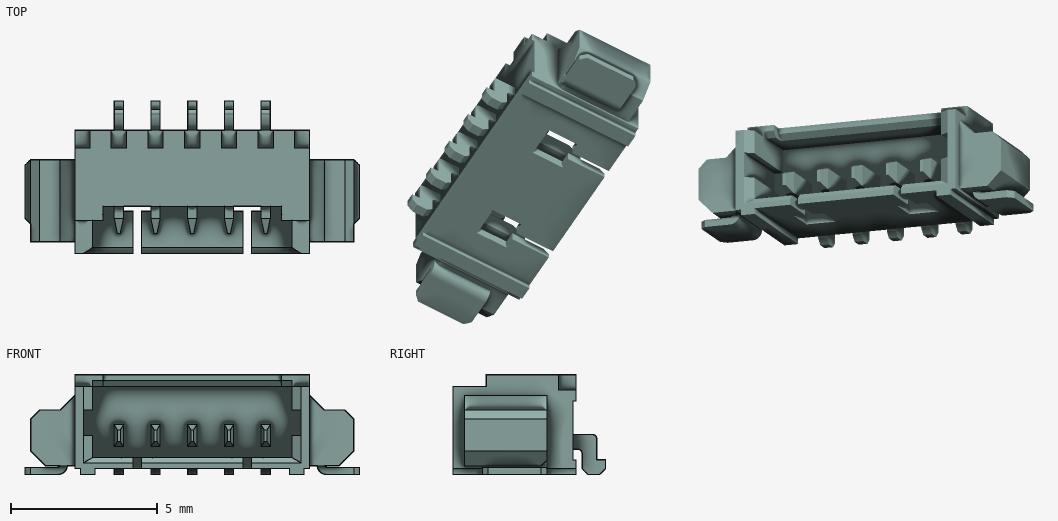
import cadquery as cq


body_width = 8.0
body_depth = 4.2
body_top = 3.4
body_bottom = 0.2
side_wall_top = 3.0
roof_front = 1.13
roof_notch_back = 1.61
roof_notch_width = 6.08
back_recess_depth = 0.11
back_recess_bottom = 0.5
back_recess_top = 2.5

cavity_width = 6.8
cavity_depth = 2.96
cavity_floor = 0.58
groove_width = 7.4
groove_bottom = 1.34
groove_top = 2.2
mouth_chamfer_depth = 0.2
mouth_floor = 0.4
roof_bevel_height = 0.2

slot_width = 0.28
slot_depth = 1.44
window_width = 1.06
window_back = 2.6

notch_width = 0.52
notch_depth = 0.6
notch_floor = 2.88
rail_width = 0.5
rail_center = 3.56

pin_count = 5
pin_pitch = 1.25
pin_width = 0.32
blade_bottom = 0.95
blade_top = 1.7
tip_front = 0.69
tip_back = 1.2
tip_width = 0.1
tip_bottom = 1.12
tip_top = 1.52
leg_root = 3.6
leg_bottom = 0.86
leg_top = 1.37
leg_front = 4.4
leg_back = 4.9
foot_back = 5.2
foot_top = 0.51
foot_chamfer = 0.2
elbow_radius = 0.15

wing_front = 0.4
wing_back = 3.2
wing_reach = 5.5
wing_bottom = 0.3
wing_shoulder = 2.2
wing_gusset = 0.5
wing_top_chamfer = 0.3
wing_bottom_chamfer = 0.5
wing_rear_chamfer_depth = 0.2
wing_rear_chamfer_height = 0.18

tab_reach = 5.7
tab_thickness = 0.25
tab_front = 1.0
tab_corner = 0.2
tab_inner_x = 4.25
tab_bend_radius = 0.33
tab_riser_top = 1.0

pin_positions = [pin_pitch * (i - (pin_count - 1) / 2) for i in range(pin_count)]


def box(x_min, x_max, y_min, y_max, z_min, z_max):
    size = (x_max - x_min, y_max - y_min, z_max - z_min)
    return cq.Workplane("XY").box(*size, centered=False).translate((x_min, y_min, z_min))


def centered_box(width, y_min, y_max, z_min, z_max, x_center=0):
    return box(x_center - width / 2, x_center + width / 2, y_min, y_max, z_min, z_max)


def both_sides(left):
    return left.union(left.mirror("YZ"))


def extrude_along_x(outline, width):
    """Extrude a closed sketch on the YZ plane equally to both sides."""
    return outline.extrude(width / 2, both=True)


def make_shell():
    """Outer block with the stepped roof, the recessed back and the board rails."""
    shell = centered_box(body_width, 0, body_depth, body_bottom, body_top)
    shell = shell.cut(centered_box(body_width, 0, roof_front, side_wall_top, body_top))
    shell = shell.cut(
        centered_box(roof_notch_width, 0, roof_notch_back, side_wall_top, body_top)
    )
    recess_front = body_depth - back_recess_depth
    shell = shell.cut(
        centered_box(body_width, recess_front, body_depth, back_recess_bottom, back_recess_top)
    )
    rail = centered_box(rail_width, 0, body_depth, 0, body_bottom, -rail_center)
    return shell.union(both_sides(rail))


def make_roof_chamfer(front, width):
    """Wedge that bevels the lower front edge of the roof."""
    outline = (
        cq.Workplane("YZ")
        .moveTo(front, side_wall_top)
        .lineTo(front, side_wall_top + roof_bevel_height)
        .lineTo(front + mouth_chamfer_depth, side_wall_top)
        .close()
    )
    return extrude_along_x(outline, width)


def make_cavity():
    """Mating space with side grooves and a flared mouth."""
    cavity = centered_box(cavity_width, 0, cavity_depth, cavity_floor, side_wall_top)
    cavity = cavity.union(centered_box(groove_width, 0, cavity_depth, groove_bottom, groove_top))
    flare_rise = cavity_floor - mouth_floor
    flare = (
        cq.Workplane("XZ")
        .center(0, (mouth_floor + side_wall_top) / 2)
        .rect(groove_width, side_wall_top - mouth_floor)
        .workplane(offset=-mouth_chamfer_depth)
        .center(0, flare_rise / 2)
        .rect(cavity_width, side_wall_top - cavity_floor)
        .loft(ruled=True)
    )
    cavity = cavity.union(flare)
    cavity = cavity.union(make_roof_chamfer(roof_front, cavity_width))
    return cavity.union(make_roof_chamfer(roof_notch_back, roof_notch_width))


def make_floor_opening():
    """Slot from the mating face that widens into a window, midway between two left pins."""
    x_center = (pin_positions[0] + pin_positions[1]) / 2
    slot = centered_box(slot_width, 0, slot_depth, body_bottom, cavity_floor, x_center)
    window = centered_box(window_width, slot_depth, window_back, body_bottom, cavity_floor, x_center)
    return slot.union(window)


def make_rear_notches():
    corner_x = (body_width - notch_width) / 2
    notches = cq.Workplane("XY")
    for x in [-corner_x, *pin_positions, corner_x]:
        notches = notches.add(
            centered_box(notch_width, body_depth - notch_depth, body_depth, notch_floor, body_top, x)
        )
    return notches.combine()


def make_pin(x):
    """Blade with a four-sided tapered tip, joined to a bent leg with a solder foot."""
    blade_height = blade_top - blade_bottom
    tip_height = tip_top - tip_bottom
    blade_middle = (blade_top + blade_bottom) / 2
    tip_middle = (tip_top + tip_bottom) / 2
    blade = centered_box(pin_width, tip_back, leg_root, blade_bottom, blade_top)
    tip = (
        cq.Workplane("XZ", origin=(0, tip_front, tip_middle))
        .rect(tip_width, tip_height)
        .workplane(offset=tip_front - tip_back)
        .center(0, blade_middle - tip_middle)
        .rect(pin_width, blade_height)
        .loft(ruled=True)
    )
    leg_outline = (
        cq.Workplane("YZ")
        .moveTo(leg_root, leg_bottom)
        .lineTo(leg_front - elbow_radius, leg_bottom)
        .radiusArc((leg_front, leg_bottom - elbow_radius), elbow_radius)
        .lineTo(leg_front, foot_chamfer)
        .lineTo(leg_front + foot_chamfer, 0)
        .lineTo(foot_back - foot_chamfer, 0)
        .lineTo(foot_back, foot_chamfer)
        .lineTo(foot_back, foot_top)
        .lineTo(leg_back, foot_top)
        .lineTo(leg_back, leg_top - elbow_radius)
        .radiusArc((leg_back - elbow_radius, leg_top), -elbow_radius)
        .lineTo(leg_root, leg_top)
        .close()
    )
    leg = extrude_along_x(leg_outline, pin_width)
    return blade.union(tip).union(leg).translate((x, 0, 0))


def make_left_wing():
    """Side block with a sloped gusset above, bevelled edges and a relieved lower rear edge."""
    wall_x = -body_width / 2
    outline = [
        (wall_x, wing_bottom),
        (wall_x, wing_shoulder + wing_gusset),
        (wall_x - wing_gusset, wing_shoulder),
        (wing_top_chamfer - wing_reach, wing_shoulder),
        (-wing_reach, wing_shoulder - wing_top_chamfer),
        (-wing_reach, wing_bottom + wing_bottom_chamfer),
        (wing_bottom_chamfer - wing_reach, wing_bottom),
    ]
    wing = (
        cq.Workplane("XZ", origin=(0, wing_front, 0))
        .polyline(outline)
        .close()
        .extrude(wing_front - wing_back)
    )
    relief = (
        cq.Workplane("YZ", origin=(-wing_reach, 0, 0))
        .moveTo(wing_back, wing_bottom)
        .lineTo(wing_back, wing_bottom + wing_rear_chamfer_height)
        .lineTo(wing_back - wing_rear_chamfer_depth, wing_bottom)
        .close()
        .extrude(wing_reach - body_width / 2)
    )
    return wing.cut(relief)


def make_left_tab():
    """Bent sheet-metal tab: a flat pad on the board and a riser set into the wing."""
    bend_x = -tab_inner_x - tab_bend_radius
    inner_radius = tab_bend_radius - tab_thickness
    riser_outer_x = -tab_inner_x - tab_thickness
    sheet = (
        cq.Workplane("XZ", origin=(0, tab_front, 0))
        .moveTo(-tab_reach, 0)
        .lineTo(bend_x, 0)
        .radiusArc((-tab_inner_x, tab_bend_radius), -tab_bend_radius)
        .lineTo(-tab_inner_x, tab_riser_top)
        .lineTo(riser_outer_x, tab_riser_top)
        .lineTo(riser_outer_x, tab_bend_radius)
        .radiusArc((bend_x, tab_thickness), inner_radius)
        .lineTo(-tab_reach, tab_thickness)
        .close()
        .extrude(tab_front - wing_back)
    )
    return sheet.edges("|Z and <X").chamfer(tab_corner)


def make_connector():
    housing = make_shell().cut(make_cavity())
    housing = housing.cut(both_sides(make_floor_opening()))
    housing = housing.cut(make_rear_notches())
    housing = housing.union(both_sides(make_left_wing()))
    housing = housing.union(both_sides(make_left_tab()))
    for x in pin_positions:
        housing = housing.union(make_pin(x))
    return housing


result = make_connector()